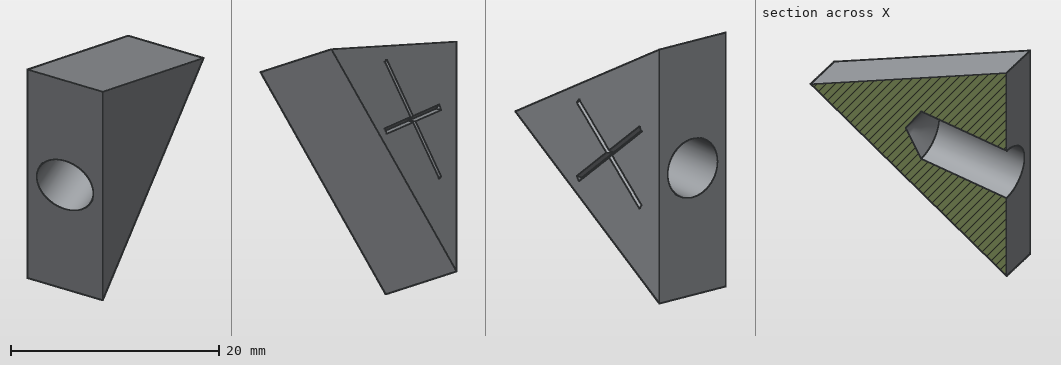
import cadquery as cq
import math

thickness = 8.0
prism_depth = 23.0
prism_height = 26.0

hole_diameter = 6.0
hole_depth = 10.0
drill_point_angle = 118.0

cross_center_y = 8.0
cross_half_y = 5.0
cross_half_z = 3.98
groove_width = 0.57
groove_angle = 60.0

groove_depth = groove_width / 2 / math.tan(math.radians(groove_angle / 2))
groove_length = 2 * math.hypot(cross_half_y, cross_half_z)
groove_tilt = math.degrees(math.atan2(cross_half_z, cross_half_y))


def make_prism():
    return (
        cq.Workplane("YZ")
        .moveTo(0, -prism_height / 2)
        .lineTo(prism_depth, 0)
        .lineTo(0, prism_height / 2)
        .close()
        .extrude(thickness / 2, both=True)
    )


def make_hole():
    radius = hole_diameter / 2
    point_depth = radius / math.tan(math.radians(drill_point_angle / 2))
    return (
        cq.Workplane("XY")
        .lineTo(radius, 0)
        .lineTo(radius, hole_depth)
        .lineTo(0, hole_depth + point_depth)
        .close()
        .revolve(360, (0, 0, 0), (0, 1, 0))
    )


def make_groove(tilt):
    """V-groove with square ends, tilted in the -X face about the cross centre."""
    return (
        cq.Workplane("XZ")
        .moveTo(0, -groove_width / 2)
        .lineTo(groove_depth, 0)
        .lineTo(0, groove_width / 2)
        .close()
        .extrude(groove_length / 2, both=True)
        .rotate((0, 0, 0), (1, 0, 0), tilt)
        .translate((-thickness / 2, cross_center_y, 0))
    )


result = make_prism().cut(make_hole())
for tilt in (groove_tilt, -groove_tilt):
    result = result.cut(make_groove(tilt))